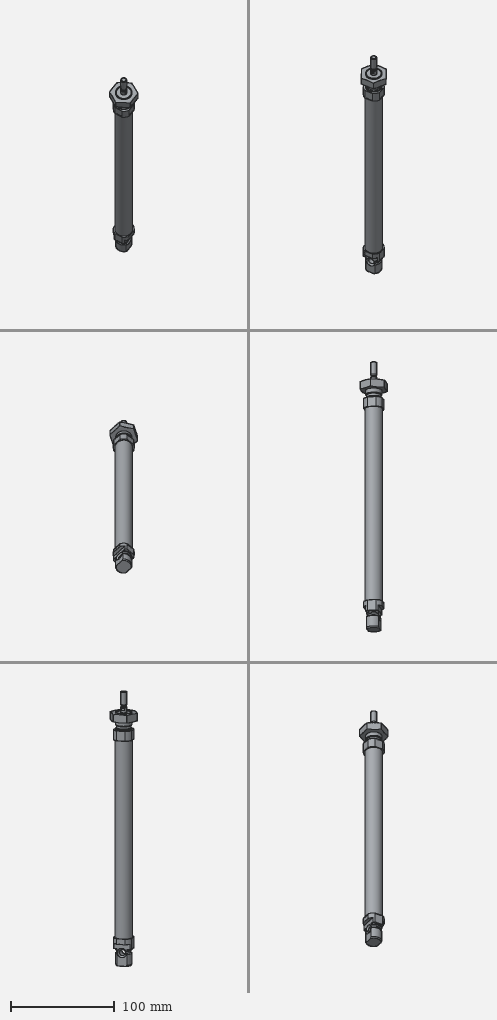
import cadquery as cq
import math

TOTAL_LENGTH = 271.0
TAIL_GROOVE_BOTTOM = 12.0
TAIL_GROOVE_TOP = 15.7
TAIL_COLLAR_BOTTOM = 17.0
EYE_FLAT_TOP = 22.2
TUBE_BOTTOM = 27.6
TUBE_TOP = 223.5
HEAD_COLLAR_TOP = 233.3
HEAD_GROOVE_BOTTOM = 234.5
HEAD_GROOVE_TOP = 238.2
NUT_BOTTOM = 242.3
NUT_TOP = 250.5

TUBE_DIAMETER = 17.3
COLLAR_DIAMETER = 20.3
COLLAR_ACROSS_FLATS = 18.5
STUD_DIAMETER = 16.0
HEAD_GROOVE_DIAMETER = 14.4
TAIL_GROOVE_DIAMETER = 13.8
HEAD_STUD_CHAMFER = 0.8
TAIL_STUD_CHAMFER = 0.8
TAIL_STUD_CHAMFER_HEIGHT = 1.4
EYE_THICKNESS = 12.2
EYE_HOLE_DIAMETER = 6.0
EYE_RIM_DIAMETER = 9.2
EYE_HOLE_HEIGHT = 13.3

ROD_DIAMETER = 6.0
ROD_NECK_DIAMETER = 5.0
ROD_TIP_DIAMETER = 4.0
ROD_NECK_BOTTOM = 255.8
ROD_NECK_TOP = 257.0
ROD_RUNOUT_TOP = 258.3
ROD_TIP_CHAMFER_HEIGHT = 0.5
ROD_FLAT_BOTTOM = 252.5
ROD_FLAT_TOP = 254.7
ROD_ACROSS_FLATS = 5.0

NUT_ACROSS_FLATS = 24.0
NUT_CORNER_DIAMETER = 27.6
NUT_FACE_DIAMETER = 23.8
NUT_CHAMFER_ANGLE = math.radians(15)

CUTTER_SIZE = 32.5


def cylinder(diameter, bottom, top):
    """Cylinder on the Z axis between two levels."""
    return cq.Workplane("XY").workplane(offset=bottom).circle(diameter / 2).extrude(top - bottom)


def slab(size_x, size_y, bottom, top):
    """Rectangular block centred on the Z axis between two levels."""
    return cq.Workplane("XY").workplane(offset=bottom).rect(size_x, size_y).extrude(top - bottom)


def revolved(profile):
    """Solid of revolution about Z from (radius, height) points."""
    return cq.Workplane("XZ").polyline(profile).close().revolve(360, (0, 0), (0, 1))


def collar(bottom, top):
    """Round collar with four wrench flats."""
    flats = slab(COLLAR_ACROSS_FLATS, COLLAR_ACROSS_FLATS, bottom, top)
    return cylinder(COLLAR_DIAMETER, bottom, top).intersect(flats)


def stud_groove(floor_diameter, bottom, top):
    """Ring cutter for a stud groove with flanks at 45 degrees."""
    floor_radius = floor_diameter / 2
    stud_radius = STUD_DIAMETER / 2
    flank = stud_radius - floor_radius
    return revolved([
        (stud_radius, bottom),
        (floor_radius, bottom + flank),
        (floor_radius, top - flank),
        (stud_radius, top),
    ])


def make_head():
    """Front collar and the grooved stud that carries the nut."""
    stud = cylinder(STUD_DIAMETER, HEAD_COLLAR_TOP, NUT_TOP).faces(">Z").chamfer(HEAD_STUD_CHAMFER)
    groove = stud_groove(HEAD_GROOVE_DIAMETER, HEAD_GROOVE_BOTTOM, HEAD_GROOVE_TOP)
    return collar(TUBE_TOP, HEAD_COLLAR_TOP).union(stud.cut(groove))


def make_eye_hole():
    """Cross hole along X with a conical rim on each side of the eye."""
    hole_radius = EYE_HOLE_DIAMETER / 2
    rim_radius = EYE_RIM_DIAMETER / 2
    half_eye = EYE_THICKNESS / 2
    rim_depth = rim_radius - hole_radius
    profile = [
        (-half_eye, 0),
        (-half_eye, rim_radius),
        (rim_depth - half_eye, hole_radius),
        (half_eye - rim_depth, hole_radius),
        (half_eye, rim_radius),
        (half_eye, 0),
    ]
    hole = cq.Workplane("XY").polyline(profile).close().revolve(360, (0, 0), (1, 0))
    return hole.translate((0, 0, EYE_HOLE_HEIGHT))


def make_tail():
    """Rear collar and grooved stud, flattened on both X sides into a drilled eye."""
    stud = cylinder(STUD_DIAMETER, 0, TAIL_COLLAR_BOTTOM).faces("<Z").chamfer(
        TAIL_STUD_CHAMFER_HEIGHT, TAIL_STUD_CHAMFER
    )
    groove = stud_groove(TAIL_GROOVE_DIAMETER, TAIL_GROOVE_BOTTOM, TAIL_GROOVE_TOP)
    beside_eye = slab(CUTTER_SIZE, CUTTER_SIZE, 0, EYE_FLAT_TOP).cut(
        slab(EYE_THICKNESS, CUTTER_SIZE, 0, EYE_FLAT_TOP)
    )
    tail = collar(TAIL_COLLAR_BOTTOM, TUBE_BOTTOM).union(stud.cut(groove))
    return tail.cut(beside_eye).cut(make_eye_hole())


def make_housing():
    """Tube with both end caps and a blind bore that seats the piston rod."""
    tube = cylinder(TUBE_DIAMETER, TUBE_BOTTOM, TUBE_TOP)
    rod_bore = cylinder(ROD_DIAMETER, TUBE_TOP, NUT_TOP)
    return tube.union(make_head()).union(make_tail()).cut(rod_bore)


def make_rod():
    """Piston rod with a chamfered tip, a neck below the thread runout and two wrench flats."""
    radius = ROD_DIAMETER / 2
    neck_radius = ROD_NECK_DIAMETER / 2
    tip_radius = ROD_TIP_DIAMETER / 2
    neck_slope = radius - neck_radius
    rod = revolved([
        (0, TUBE_TOP),
        (radius, TUBE_TOP),
        (radius, ROD_NECK_BOTTOM - neck_slope),
        (neck_radius, ROD_NECK_BOTTOM),
        (neck_radius, ROD_NECK_TOP),
        (radius, ROD_RUNOUT_TOP),
        (radius, TOTAL_LENGTH - ROD_TIP_CHAMFER_HEIGHT),
        (tip_radius, TOTAL_LENGTH),
        (0, TOTAL_LENGTH),
    ])
    beside_flats = slab(CUTTER_SIZE, CUTTER_SIZE, ROD_FLAT_BOTTOM, ROD_FLAT_TOP).cut(
        slab(ROD_ACROSS_FLATS, CUTTER_SIZE, ROD_FLAT_BOTTOM, ROD_FLAT_TOP)
    )
    return rod.cut(beside_flats)


def make_nut():
    """Hexagonal nut with flats facing X and conically chamfered corners."""
    across_corners = NUT_ACROSS_FLATS / math.cos(math.pi / 6)
    hexagon = (
        cq.Workplane("XY")
        .workplane(offset=NUT_BOTTOM)
        .polygon(6, across_corners)
        .extrude(NUT_TOP - NUT_BOTTOM)
        .rotate((0, 0, 0), (0, 0, 1), 30)
    )
    corner_radius = NUT_CORNER_DIAMETER / 2
    face_radius = NUT_FACE_DIAMETER / 2
    chamfer_height = (corner_radius - face_radius) * math.tan(NUT_CHAMFER_ANGLE)
    envelope = revolved([
        (0, NUT_BOTTOM),
        (face_radius, NUT_BOTTOM),
        (corner_radius, NUT_BOTTOM + chamfer_height),
        (corner_radius, NUT_TOP - chamfer_height),
        (face_radius, NUT_TOP),
        (0, NUT_TOP),
    ])
    return hexagon.intersect(envelope).cut(cylinder(STUD_DIAMETER, NUT_BOTTOM, NUT_TOP))


housing = make_housing()
rod = make_rod()
nut = make_nut()

result = cq.Compound.makeCompound([housing.val(), rod.val(), nut.val()])